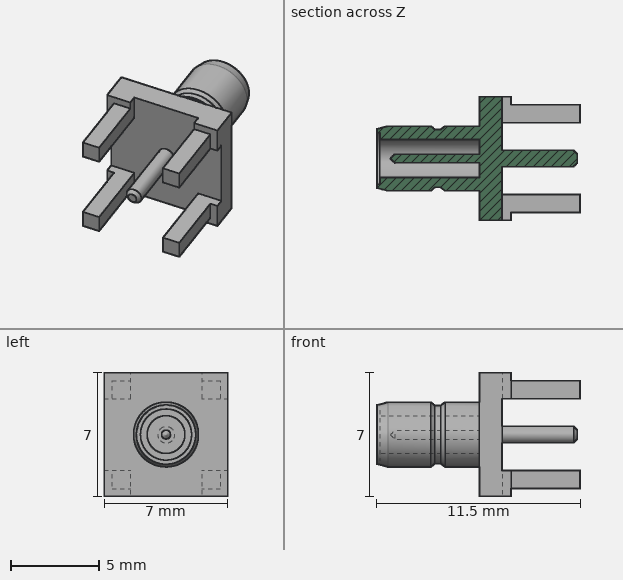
import cadquery as cq

total_length = 11.5
flange_width = 7.0

barrel_radius = 1.84
nose_radius = 1.68
nose_length = 0.61
groove_radius = 1.66
groove_start = 3.06
groove_floor_start = 3.27
groove_floor_end = 3.61
groove_end = 3.85

flange_front = 5.8
flange_back = 7.08
pad_back = 7.59
leg_inner = 2.02
leg_width = 1.04

mouth_radius = 1.45
mouth_depth = 0.17
bore_radius = 1.07
bore_end = flange_front

contact_radius = 0.25
contact_tip = 0.75
contact_tip_length = 0.25
pin_radius = 0.47
pin_end = 11.34
pin_chamfer = 0.21


def revolve_about_x(points):
    """Revolve a closed (X, radius) outline about the connector axis."""
    return cq.Workplane("XY").polyline(points).close().revolve(360, (0, 0, 0), (1, 0, 0))


def block(x_start, x_end, width, y=0.0, z=0.0):
    """Square bar along X, centred on (y, z)."""
    return (
        cq.Workplane("YZ", origin=(x_start, 0, 0))
        .center(y, z)
        .rect(width, width)
        .extrude(x_end - x_start)
    )


def make_barrel():
    return revolve_about_x([
        (0, 0),
        (0, nose_radius),
        (nose_length, barrel_radius),
        (groove_start, barrel_radius),
        (groove_floor_start, groove_radius),
        (groove_floor_end, groove_radius),
        (groove_end, barrel_radius),
        (flange_front, barrel_radius),
        (flange_front, 0),
    ])


def make_socket():
    return revolve_about_x([
        (0, 0),
        (0, mouth_radius),
        (mouth_depth, mouth_radius),
        (mouth_depth, bore_radius),
        (bore_end, bore_radius),
        (bore_end, 0),
    ])


def make_contact():
    return revolve_about_x([
        (contact_tip, 0),
        (contact_tip + contact_tip_length, contact_radius),
        (flange_back, contact_radius),
        (flange_back, 0),
    ])


def make_solder_pin():
    pin = cq.Workplane("YZ", origin=(flange_back, 0, 0)).circle(pin_radius).extrude(pin_end - flange_back)
    return pin.faces(">X").chamfer(pin_chamfer)


flange = block(flange_front, flange_back, flange_width)
result = flange.union(make_barrel()).cut(make_socket()).union(make_contact()).union(make_solder_pin())

pad_width = flange_width / 2 - leg_inner
pad_centre = leg_inner + pad_width / 2
leg_centre = leg_inner + leg_width / 2
for y_side in (-1, 1):
    for z_side in (-1, 1):
        pad = block(flange_back, pad_back, pad_width, y_side * pad_centre, z_side * pad_centre)
        leg = block(flange_back, total_length, leg_width, y_side * leg_centre, z_side * leg_centre)
        result = result.union(pad).union(leg)